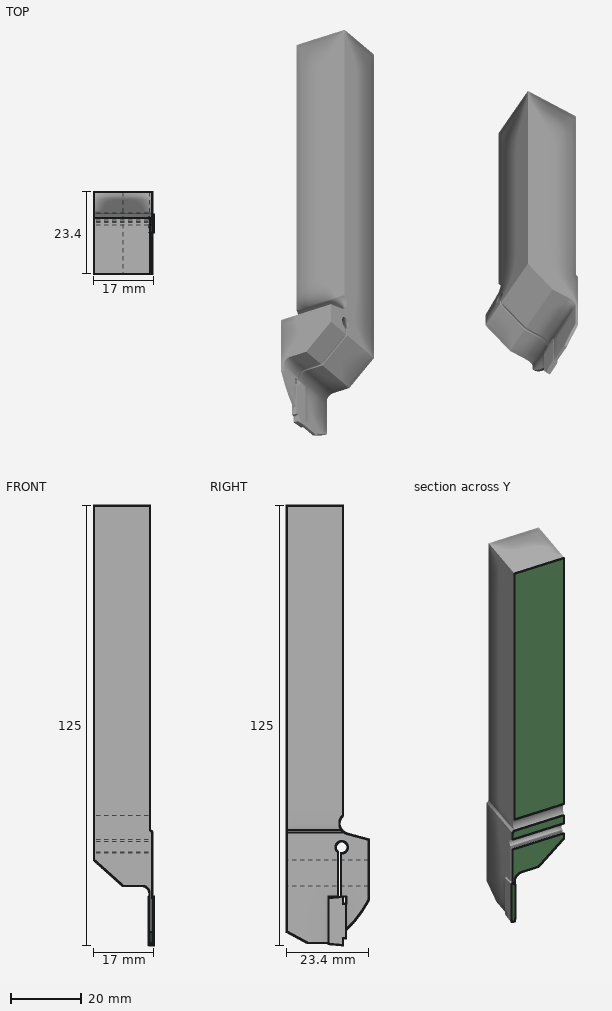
import cadquery as cq
import math

length = 125.0
shank_size = 16.0
head_height = 23.4

blade_left = 15.8
blade_right = 16.6
head_step_top = 32.8
head_step_bottom = 32.1
head_bottom = 16.9
bevel_top = 24.2
bevel_width = 8.2
blade_root_radius = 2.1

relief_radius = 3.0
relief_y = 18.0
relief_z = 34.6
shelf_angle = math.radians(15)
jaw_front_z = 13.0
jaw_mid = (20.4, 8.2)
jaw_tip = (16.9, 4.4)
blade_bottom = 0.6
toe_y = 6.0
toe_z = 3.9

slit_y = 15.0
slit_width = 0.8
slit_hole_y = 15.6
slit_hole_z = 27.9
slit_hole_diameter = 3.4

seat_y = 11.9
clamp_y = jaw_tip[0]
pocket_top = 13.9
insert_length = pocket_top
insert_width = 1.5
insert_right = 17.0
insert_left = insert_right - insert_width
edge_y = 16.0
edge_land = 2.0
end_relief = 0.4
corner_height = 2.5
corner_run = 1.8
corner_depth = 0.2


def thickness_profile():
    """Holder as seen along Y, extruded over the full head height."""
    return (
        cq.Workplane("XZ")
        .moveTo(0, length)
        .lineTo(shank_size, length)
        .lineTo(shank_size, head_step_top)
        .lineTo(blade_right, head_step_bottom)
        .lineTo(blade_right, 0)
        .lineTo(blade_left, 0)
        .lineTo(blade_left, head_bottom - blade_root_radius)
        .radiusArc((blade_left - blade_root_radius, head_bottom), -blade_root_radius)
        .lineTo(bevel_width, head_bottom)
        .lineTo(0, bevel_top)
        .close()
        .extrude(-head_height)
    )


def height_profile():
    """Holder as seen along X, with the rounded relief behind the sloping head shelf."""
    relief_rise = math.sqrt(relief_radius**2 - (relief_y - shank_size) ** 2)
    shelf_start_y = relief_y - relief_radius * math.sin(shelf_angle)
    shelf_start_z = relief_z - relief_radius * math.cos(shelf_angle)
    shelf_end_z = shelf_start_z - (head_height - shelf_start_y) * math.tan(shelf_angle)
    return (
        cq.Workplane("YZ")
        .moveTo(0, length)
        .lineTo(shank_size, length)
        .lineTo(shank_size, relief_z + relief_rise)
        .threePointArc((relief_y - relief_radius, relief_z), (shelf_start_y, shelf_start_z))
        .lineTo(head_height, shelf_end_z)
        .lineTo(head_height, jaw_front_z)
        .threePointArc(jaw_mid, jaw_tip)
        .lineTo(clamp_y, pocket_top)
        .lineTo(seat_y, pocket_top)
        .lineTo(seat_y, blade_bottom)
        .lineTo(toe_y, blade_bottom)
        .lineTo(0, toe_z)
        .close()
        .extrude(insert_right)
    )


def clamping_slit():
    """Slit that frees the upper jaw, ending in a round hole."""
    slit_height = slit_hole_z - pocket_top
    slit = (
        cq.Workplane("YZ")
        .center(slit_y, pocket_top + slit_height / 2)
        .rect(slit_width, slit_height)
        .extrude(insert_right)
    )
    hole = (
        cq.Workplane("YZ")
        .center(slit_hole_y, slit_hole_z)
        .circle(slit_hole_diameter / 2)
        .extrude(insert_right)
    )
    return slit.union(hole)


def make_holder():
    return thickness_profile().intersect(height_profile()).cut(clamping_slit()).solids()


def corner_bevel():
    """Tetrahedron removed from the -X side of the lower cutting corner."""
    corner = cq.Vector(insert_left, edge_y, 0)
    along_x = cq.Vector(insert_left + corner_depth, edge_y, 0)
    along_y = cq.Vector(insert_left, edge_y - corner_run, 0)
    along_z = cq.Vector(insert_left, edge_y, corner_height)
    triangles = [
        (corner, along_x, along_y),
        (corner, along_x, along_z),
        (corner, along_y, along_z),
        (along_x, along_y, along_z),
    ]
    faces = [cq.Face.makeFromWires(cq.Wire.makePolygon(t, close=True)) for t in triangles]
    return cq.Workplane(cq.Solid.makeSolid(cq.Shell.makeShell(faces)))


def make_insert():
    """Double-ended insert with a recessed cutting edge and a beveled corner at each end."""
    body = (
        cq.Workplane("YZ", origin=(insert_left, 0, 0))
        .polyline([
            (seat_y, end_relief),
            (edge_y, 0),
            (edge_y, edge_land),
            (clamp_y, edge_land),
            (clamp_y, insert_length - edge_land),
            (edge_y, insert_length - edge_land),
            (edge_y, insert_length),
            (seat_y, insert_length - end_relief),
        ])
        .close()
        .extrude(insert_width)
    )
    lower_bevel = corner_bevel()
    upper_bevel = lower_bevel.mirror("XY", (0, 0, insert_length / 2))
    return body.cut(lower_bevel).cut(upper_bevel).solids()


holder = make_holder()
insert = make_insert()
result = cq.Compound.makeCompound([holder.val(), insert.val()])